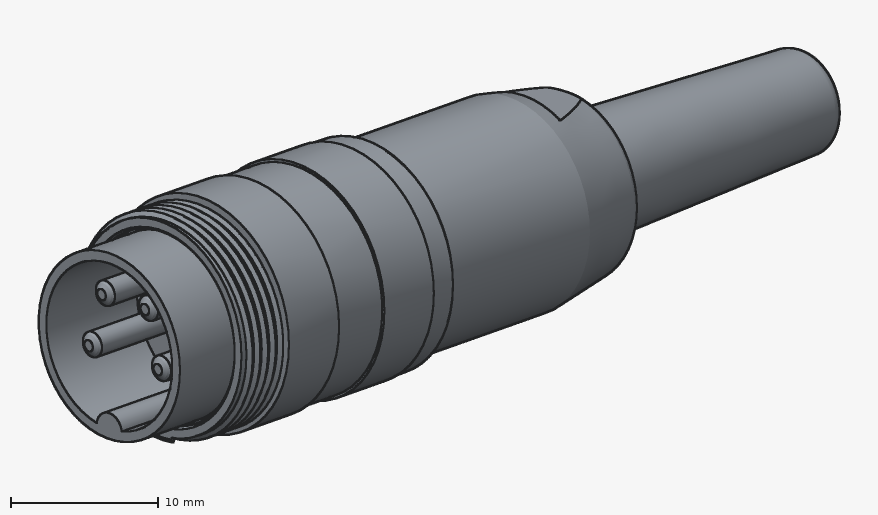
import cadquery as cq
import math


NOSE_DIA = 13.5
BORE_DIA = 12.0
BORE_DEPTH = 8.75
KEY_DIA = 2.4
KEY_AXIS_OFFSET = 6.05

COLLAR_FRONT = 4.9
THREAD_ROOT_DIA = 15.5
THREAD_CREST_DIA = 16.25
THREAD_PITCH = 0.75
THREAD_BASE_WIDTH = 0.6
THREAD_START = 5.05
THREAD_START_ANGLE = 82.0
THREAD_LENGTH = 3.7
THREAD_SINK = 0.15
CLEARANCE_DIA = 13.9
CLEARANCE_MOUTH_DIA = 14.2
CLEARANCE_DEPTH = 0.7

RING_DIA = 17.0
RING_FRONT = 8.75
WAIST_DIA = 16.6
WAIST_FRONT = 13.6
WAIST_BACK = 18.0
REAR_BAND_DIA = 16.8
REAR_BAND_FRONT = 22.8
RING_BACK = 25.0
RING_CHAMFER = 0.3

BODY_DIA = 15.6
SHOULDER_FRONT = 38.6
SHOULDER_BACK = 44.55
SHOULDER_END_DIA = 13.5
SHOULDER_FILLET = 0.8
FLAT_FRONT = 40.05
ACROSS_FLATS = 13.3

SLEEVE_BASE_DIA = 9.25
SLEEVE_TIP_DIA = 7.55
SLEEVE_FILLET = 1.0
TOTAL_LENGTH = 67.4

PIN_DIA = 1.8
PIN_SHOULDER_DIA = 1.5
PIN_POINT_DIA = 0.8
PIN_POINT_LENGTH = 0.2
PIN_CHAMFER = (PIN_DIA - PIN_SHOULDER_DIA) / 2
PIN_RECESS = 1.35
PIN_CIRCLE_RADIUS = 3.5
PIN_ANGLES = (-20.0, 54.0, 126.0, 200.0)


def cylinder(diameter, front, back, x=0.0, z=0.0):
    """Cylinder along Y between two stations."""
    plane = cq.Plane(origin=(x, front, z), xDir=(1, 0, 0), normal=(0, 1, 0))
    return cq.Workplane(plane).circle(diameter / 2).extrude(back - front)


def cone(front_dia, back_dia, front, back):
    """Cone frustum along Y between two stations."""
    points = [(0, front), (front_dia / 2, front), (back_dia / 2, back), (0, back)]
    return cq.Workplane("XY").polyline(points).close().revolve(360, (0, 0), (0, 1))


def coupling_ring():
    ring = cylinder(RING_DIA, RING_FRONT, REAR_BAND_FRONT)
    rear_band = cylinder(REAR_BAND_DIA, REAR_BAND_FRONT, RING_BACK).faces(">Y").chamfer(RING_CHAMFER)
    waist_cut = cylinder(RING_DIA, WAIST_FRONT, WAIST_BACK)
    waist = cylinder(WAIST_DIA, WAIST_FRONT, WAIST_BACK)
    return ring.cut(waist_cut).union(waist).union(rear_band)


def clamp_body():
    body = cylinder(BODY_DIA, RING_BACK, SHOULDER_FRONT)
    shoulder = cone(BODY_DIA, SHOULDER_END_DIA, SHOULDER_FRONT, SHOULDER_BACK)
    shoulder = shoulder.faces(">Y").edges().fillet(SHOULDER_FILLET)
    flat_length = SHOULDER_BACK - FLAT_FRONT
    flat_cutter = cq.Workplane("XY").box(BODY_DIA, flat_length, BODY_DIA, centered=(True, False, False))
    for side in (1, -1):
        bottom = ACROSS_FLATS / 2 if side > 0 else -ACROSS_FLATS / 2 - BODY_DIA
        shoulder = shoulder.cut(flat_cutter.translate((0, FLAT_FRONT, bottom)))
    return body.union(shoulder)


def cable_sleeve():
    sleeve = cone(SLEEVE_BASE_DIA, SLEEVE_TIP_DIA, SHOULDER_BACK, TOTAL_LENGTH)
    return sleeve.faces(">Y").edges().fillet(SLEEVE_FILLET)


def thread_ridge():
    """Right-handed triangular ridge wound around the collar."""
    root = THREAD_ROOT_DIA / 2 - THREAD_SINK
    crest = THREAD_CREST_DIA / 2
    half_base = THREAD_BASE_WIDTH / 2
    helix = cq.Wire.makeHelix(THREAD_PITCH, THREAD_LENGTH, root)
    profile = cq.Workplane("XZ").polyline([(root, -half_base), (crest, 0), (root, half_base)]).close()
    ridge = profile.sweep(cq.Workplane(helix), isFrenet=True)
    return (
        ridge.rotate((0, 0, 0), (0, 0, 1), THREAD_START_ANGLE)
        .rotate((0, 0, 0), (1, 0, 0), -90)
        .translate((0, THREAD_START, 0))
    )


def threaded_collar():
    collar = cylinder(THREAD_ROOT_DIA, COLLAR_FRONT, RING_FRONT)
    ridge = thread_ridge().intersect(cylinder(RING_DIA, COLLAR_FRONT, RING_FRONT))
    mouth_back = COLLAR_FRONT + (CLEARANCE_MOUTH_DIA - CLEARANCE_DIA) / 2
    mouth = cone(CLEARANCE_MOUTH_DIA, CLEARANCE_DIA, COLLAR_FRONT, mouth_back)
    clearance = cylinder(CLEARANCE_DIA, COLLAR_FRONT, COLLAR_FRONT + CLEARANCE_DEPTH)
    return collar.union(ridge).cut(clearance).cut(mouth)


def plug_nose():
    """Hollow nose with a rounded key along the bottom of its bore."""
    nose = cylinder(NOSE_DIA, 0, RING_FRONT)
    bore = cylinder(BORE_DIA, 0, BORE_DEPTH)
    key = cylinder(KEY_DIA, 0, BORE_DEPTH, z=-KEY_AXIS_OFFSET)
    return nose.cut(bore.cut(key))


def contact_pin(angle):
    x = PIN_CIRCLE_RADIUS * math.cos(math.radians(angle))
    z = PIN_CIRCLE_RADIUS * math.sin(math.radians(angle))
    shoulder = PIN_RECESS + PIN_POINT_LENGTH
    shank = cylinder(PIN_DIA, shoulder, BORE_DEPTH, x, z).faces("<Y").chamfer(PIN_CHAMFER)
    point = cone(PIN_POINT_DIA, PIN_SHOULDER_DIA, PIN_RECESS, shoulder).translate((x, 0, z))
    return shank.union(point)


collar = threaded_collar().cut(cylinder(BORE_DIA, COLLAR_FRONT, BORE_DEPTH))
result = coupling_ring().union(clamp_body()).union(cable_sleeve()).union(collar).union(plug_nose())
for pin_angle in PIN_ANGLES:
    result = result.union(contact_pin(pin_angle))